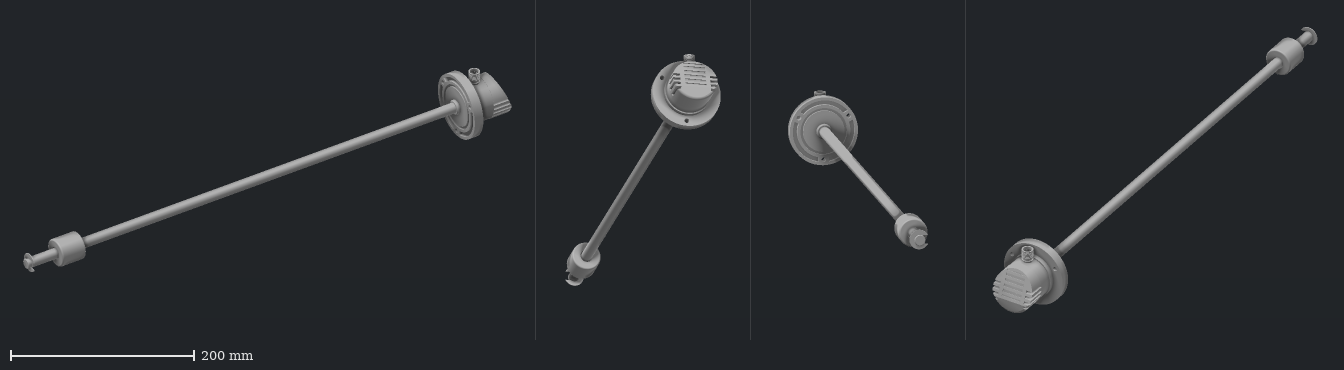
import cadquery as cq
import math


flange_radius = 38.0
flange_thickness = 11.0
bolt_circle_radius = 32.0
bolt_hole_diameter = 5.2
bolt_angles = (-90, 30, 150)
bolt_boss_width = 11.7
relief_outer_radius = 34.5
relief_inner_radius = 29.5
relief_depth = 4.0
seal_outer_radius = 26.0
seal_inner_radius = 23.0
seal_depth = 2.5

shoulder_diameter = 52.0
shoulder_top = 16.5
body_diameter = 49.0
cap_diameter = 49.8
cap_start = 33.0
head_top = 58.0
head_edge_radius = 3.0
slope_start = 44.3
slope_end_z = -10.0

panel_width = 24.0
panel_length = 31.0
panel_depth = 1.0
bar_count = 5
bar_height = 3.0

groove_count = 4
groove_width = 2.9
groove_pitch = 2 * groove_width
groove_middle_z = -3.65
groove_floor_x = 16.5

plug_y = 23.0
plug_top = 39.0
plug_diameter = 13.0
plug_bottom = 30.6
plug_neck_diameter = 10.8
plug_collar_bottom = 26.4
plug_collar_thickness = 0.6
thread_pitch = 1.5
thread_depth = 0.6
thread_groove_width = thread_pitch / 2
socket_diameter = 9.8
socket_depth = 7.0
pin_diameter = 0.8
pin_length = 5.5
pin_count = 4
pin_start_angle = 45
pin_circle_radius = 2.5

stem_radius = 6.0
stem_length = 555.0
stem_tip_chamfer = 0.6
stem_collar_radius = 8.5
stem_collar_length = 3.7
stem_collar_chamfer = 1.0

clip_y = -550.1
clip_thickness = 1.0
clip_outer_radius = 10.9
clip_inner_radius = 4.9
clip_groove_length = 3.9

float_top = -487.0
float_length = 30.0
float_radius = 16.0
float_bore_radius = 7.0
float_edge_radius = 1.8


def cylinder_y(radius, y_from, y_to):
    """Solid cylinder on the Y axis between two Y positions."""
    return cq.Workplane("XZ", origin=(0, y_from, 0)).circle(radius).extrude(y_from - y_to)


def ring_y(outer_radius, inner_radius, y_from, y_to):
    """Ring on the Y axis between two Y positions."""
    return cylinder_y(outer_radius, y_from, y_to).cut(cylinder_y(inner_radius, y_from, y_to))


def cylinder_z(diameter, z_from, z_to):
    """Solid cylinder on the plug axis between two Z positions."""
    return cq.Workplane("XY", origin=(0, plug_y, z_from)).circle(diameter / 2).extrude(z_to - z_from)


def make_flange():
    """Flange with an interrupted relief, a seal groove and bolt holes in its mounting face."""
    relief = ring_y(relief_outer_radius, relief_inner_radius, 0, relief_depth)
    for angle in bolt_angles:
        boss = (
            cq.Workplane("XY")
            .box(2 * flange_radius, relief_depth, bolt_boss_width, centered=(False, False, True))
            .rotate((0, 0, 0), (0, 1, 0), -angle)
        )
        relief = relief.cut(boss)
    seal_groove = ring_y(seal_outer_radius, seal_inner_radius, 0, seal_depth)
    bolt_angles_rad = [math.radians(angle) for angle in bolt_angles]
    bolt_points = [
        (bolt_circle_radius * math.cos(angle), bolt_circle_radius * math.sin(angle))
        for angle in bolt_angles_rad
    ]
    bolt_holes = (
        cq.Workplane("XZ").pushPoints(bolt_points).circle(bolt_hole_diameter / 2).extrude(-flange_thickness)
    )
    flange = cylinder_y(flange_radius, 0, flange_thickness)
    return flange.cut(relief).cut(seal_groove).cut(bolt_holes)


def make_panel_recess():
    """Recess in the sloped face, with crosswise bars left standing in it."""
    cap_radius = cap_diameter / 2
    run = head_top - slope_start
    drop = cap_radius - slope_end_z
    slope_plane = cq.Plane(
        origin=(0, (slope_start + head_top) / 2, (cap_radius + slope_end_z) / 2),
        xDir=(1, 0, 0),
        normal=(0, drop, run),
    )
    recess = cq.Workplane(slope_plane).rect(panel_width, panel_length).extrude(-panel_depth)
    bars = (
        cq.Workplane(slope_plane)
        .rarray(1, panel_length / bar_count, 1, bar_count)
        .rect(panel_width, bar_height)
        .extrude(-panel_depth)
    )
    return recess.cut(bars)


def make_cap():
    """Cap with a sloped face, an operating panel and grip grooves on both sides."""
    cap_radius = cap_diameter / 2
    cap = cylinder_y(cap_radius, cap_start, head_top).faces(">Y").edges().fillet(head_edge_radius)
    slope_cut = (
        cq.Workplane("YZ")
        .moveTo(slope_start, cap_radius)
        .lineTo(head_top, slope_end_z)
        .lineTo(head_top, cap_radius)
        .close()
        .extrude(cap_radius, both=True)
    )
    cap = cap.cut(slope_cut).cut(make_panel_recess())
    groove_depth = cap_radius - groove_floor_x
    for side in (-1, 1):
        groove_x = side * (groove_floor_x + groove_depth / 2)
        grooves = (
            cq.Workplane("XZ", origin=(groove_x, cap_start, groove_middle_z))
            .rarray(1, groove_pitch, 1, groove_count)
            .rect(groove_depth, groove_width)
            .extrude(cap_start - head_top)
        )
        cap = cap.cut(grooves)
    return cap


def make_plug():
    """Threaded plug connector with a collar below it and contact pins in its socket."""
    neck = cylinder_z(plug_neck_diameter, 0, plug_bottom)
    collar = cylinder_z(plug_diameter, plug_collar_bottom, plug_collar_bottom + plug_collar_thickness)
    barrel = cylinder_z(plug_diameter, plug_bottom, plug_top)
    thread_count = int((plug_top - plug_bottom) / thread_pitch)
    for index in range(thread_count):
        groove_bottom = plug_bottom + index * thread_pitch + thread_groove_width / 2
        groove_top = groove_bottom + thread_groove_width
        core = cylinder_z(plug_diameter - 2 * thread_depth, groove_bottom, groove_top)
        barrel = barrel.cut(cylinder_z(plug_diameter, groove_bottom, groove_top).cut(core))
    socket_floor = plug_top - socket_depth
    barrel = barrel.cut(cylinder_z(socket_diameter, socket_floor, plug_top))
    pins = (
        cq.Workplane("XY", origin=(0, plug_y, socket_floor))
        .polarArray(pin_circle_radius, pin_start_angle, 360, pin_count)
        .circle(pin_diameter / 2)
        .extrude(pin_length)
    )
    return neck.union(collar).union(barrel).union(pins)


def make_stem():
    """Stem with a chamfered collar at the flange, a clip groove and a chamfered tip."""
    stem = cylinder_y(stem_radius, 0, -stem_length).faces("<Y").chamfer(stem_tip_chamfer)
    collar = cylinder_y(stem_collar_radius, 0, -stem_collar_length).faces("<Y").chamfer(stem_collar_chamfer)
    clip_groove_top = clip_y + clip_thickness / 2
    clip_groove = ring_y(
        stem_radius, clip_inner_radius, clip_groove_top - clip_groove_length, clip_groove_top
    )
    return stem.union(collar).cut(clip_groove)


def make_transmitter():
    """Flange, head, plug and stem as one solid."""
    shoulder = cylinder_y(shoulder_diameter / 2, flange_thickness, shoulder_top)
    body = cylinder_y(body_diameter / 2, shoulder_top, cap_start)
    head = make_flange().union(shoulder).union(body).union(make_cap())
    return head.union(make_plug()).union(make_stem())


def make_float():
    """Hollow cylindrical float that slides on the stem."""
    shell = cylinder_y(float_radius, float_top, float_top - float_length)
    shell = shell.faces("<Y or >Y").edges().fillet(float_edge_radius)
    return shell.cut(cylinder_y(float_bore_radius, float_top, float_top - float_length))


def make_clip():
    """Retaining clip in the stem groove, open toward +X."""
    clip_bottom = clip_y - clip_thickness / 2
    clip_top = clip_y + clip_thickness / 2
    mouth = cq.Workplane("XY", origin=(0, clip_bottom, 0)).box(
        clip_outer_radius, clip_thickness, 2 * clip_inner_radius, centered=(False, False, True)
    )
    return ring_y(clip_outer_radius, clip_inner_radius, clip_bottom, clip_top).cut(mouth)


transmitter = make_transmitter()
sliding_float = make_float()
clip = make_clip()

result = cq.Compound.makeCompound([transmitter.val(), sliding_float.val(), clip.val()])